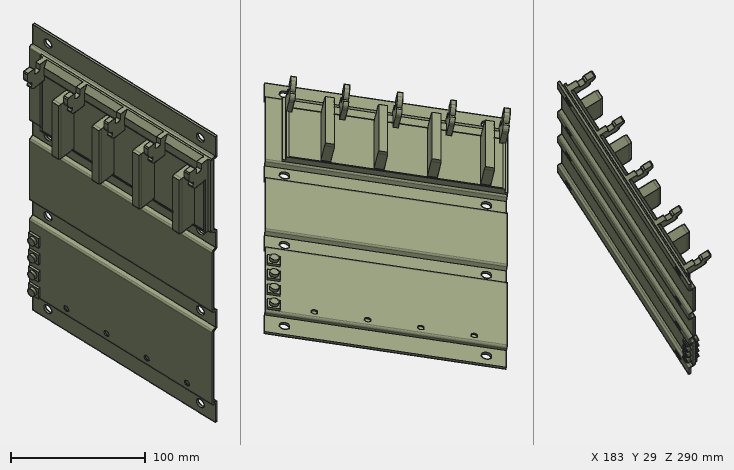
import cadquery as cq
import math


plate_width = 183.0
plate_height = 290.0
mid_height = plate_height / 2
sheet = 2.0
raise_step = 3.8
raised_face = sheet + raise_step
end_step_z = 270.5
upper_ramp_z = 193.0
middle_ramp_z = 177.8
bend_radius = 2.0
ramp_angle = 60.0

mount_hole_diameter = 7.8
mount_hole_spacing = 152.8
mount_hole_edge = 10.2
mount_hole_inner = 40.5

pitch = 40.3
backing_left = -79.2
backing_face = 7.5
tray_left = -76.5
tray_right = 89.3
tray_face = 10.5
tray_bottom = 197.0
tray_top = 270.0
tray_slope_foot = 263.5
panel_rim = 2.0
panel_bottom = 198.0
panel_top = 255.5
panel_recess = 0.44

rib_count = 4
first_rib_x = -46.7
rib_width = 7.5
rib_bottom = 199.5
rib_top = 254.5
rib_shoulder = 24.5
rib_face = 26.7
rib_nose_inset = 0.44

hook_count = 5
hook_width = 4.0
last_hook_width = tray_right - (tray_left + (hook_count - 1) * pitch)
hook_bottom = 250.5
hook_tip = 29.0
slot_back = 15.0
slot_front = 20.5
slot_floor = 263.5
slot_floor_rise = 1.0
slot_lead_in = 1.5
beak_chamfer = 1.0
beak_end_z = 264.0
beak_middle = (27.3, 260.0)
notch_depth = 23.8
notch_top = 257.5
notch_bottom = 255.5
nose_tip = (25.0, 254.0)
nose_middle = (23.8, 251.7)
nose_root = 19.5

terminal_count = 4
terminal_x = -85.5
lowest_terminal_z = 27.0
terminal_pitch = 17.0
terminal_square = 10.0
terminal_square_face = 7.8
terminal_diameter = 7.0
terminal_face = 10.5
terminal_chamfer = 1.0

blind_count = 4
first_blind_x = -54.5
blind_diameter = 5.0
blind_depth = 1.2


def block(left, right, back, front, bottom, top):
    """Box between two X positions, two depths and two heights."""
    size = (right - left, front - back, top - bottom)
    return cq.Workplane("XY").box(*size, centered=False).translate((left, -front, bottom))


def side_profile(points, left, right):
    """Extrude a (depth, height) polygon from left to right."""
    outline = [(-depth, height) for depth, height in points]
    return cq.Workplane("YZ", origin=(left, 0, 0)).polyline(outline).close().extrude(right - left)


def rod(x, z, diameter, back, front):
    """Cylinder along Y between two depths."""
    plane = cq.Workplane("XZ", origin=(x, -back, z))
    return plane.circle(diameter / 2).extrude(front - back)


def flipped(points):
    """Mirror (depth, height) points about mid-height, keeping the outline in order."""
    return [(depth, plate_height - height) for depth, height in reversed(points)]


def make_backplate():
    ramp_height = raise_step / math.tan(math.radians(ramp_angle))
    shift = sheet * math.tan(math.radians(ramp_angle / 2))
    upper_front = [
        (sheet, plate_height),
        (sheet, end_step_z),
        (raised_face, end_step_z),
        (raised_face, upper_ramp_z + ramp_height),
        (sheet, upper_ramp_z),
        (sheet, middle_ramp_z),
        (raised_face, middle_ramp_z - ramp_height),
    ]
    upper_back = [
        (0, plate_height),
        (0, end_step_z - sheet),
        (raise_step, end_step_z - sheet),
        (raise_step, upper_ramp_z + ramp_height + shift),
        (0, upper_ramp_z + shift),
        (0, middle_ramp_z - shift),
        (raise_step, middle_ramp_z - ramp_height - shift),
    ]
    front = upper_front + flipped(upper_front)
    back = upper_back + flipped(upper_back)
    plate = side_profile(front + back[::-1], -plate_width / 2, plate_width / 2)

    upper_bends = [p for p in upper_front if p[0] == raised_face]
    upper_bends += [p for p in upper_back if p[0] == 0 and p[1] < plate_height]
    for depth, height in upper_bends + flipped(upper_bends):
        corner = cq.selectors.NearestToPointSelector((0, -depth, height))
        plate = plate.edges("|X").edges(corner).fillet(bend_radius)
    return plate


def make_mount_holes():
    outer_row = mid_height - mount_hole_edge
    holes = cq.Workplane("XY")
    for side in (-1, 1):
        for row in (-outer_row, -mount_hole_inner, mount_hole_inner, outer_row):
            x = side * mount_hole_spacing / 2
            holes = holes.add(rod(x, mid_height + row, mount_hole_diameter, 0, sheet))
    return holes.combine()


def make_tray():
    backing = block(backing_left, plate_width / 2, raised_face, backing_face, tray_bottom, tray_top)
    body_profile = [
        (raised_face, tray_bottom),
        (tray_face, tray_bottom),
        (tray_face, tray_slope_foot),
        (backing_face, tray_top),
        (raised_face, tray_top),
    ]
    body = side_profile(body_profile, tray_left, tray_right)
    recess = block(
        tray_left + panel_rim, tray_right - panel_rim,
        tray_face - panel_recess, tray_face,
        panel_bottom, panel_top,
    )
    return backing.union(body).cut(recess)


def make_rib(x):
    height = rib_top - rib_bottom
    nose_length = rib_face - rib_shoulder
    shank = block(x - rib_width / 2, x + rib_width / 2, backing_face, rib_shoulder, rib_bottom, rib_top)
    taper = math.degrees(math.atan(rib_nose_inset / nose_length))
    nose_plane = cq.Workplane("XZ", origin=(x, -rib_shoulder, rib_bottom + height / 2))
    nose = nose_plane.rect(rib_width, height).extrude(nose_length, taper=taper)
    return shank.union(nose)


def make_hook(left, width):
    def at(depth, height):
        return (-depth, height)

    slot_middle = (slot_back + slot_front) / 2
    slot_wall_foot = slot_floor + slot_floor_rise
    outline = (
        cq.Workplane("YZ", origin=(left, 0, 0))
        .moveTo(*at(raised_face, hook_bottom))
        .lineTo(*at(raised_face, tray_top))
        .lineTo(*at(slot_back, tray_top))
        .lineTo(*at(slot_back, slot_wall_foot))
        .threePointArc(at(slot_middle, slot_floor), at(slot_front, slot_wall_foot))
        .lineTo(*at(slot_front, tray_top - slot_lead_in))
        .lineTo(*at(slot_front + slot_lead_in, tray_top))
        .lineTo(*at(hook_tip - beak_chamfer, tray_top))
        .lineTo(*at(hook_tip, tray_top - beak_chamfer))
        .lineTo(*at(hook_tip, beak_end_z))
        .threePointArc(at(*beak_middle), at(notch_depth, notch_top))
        .lineTo(*at(notch_depth, notch_bottom))
        .lineTo(*at(*nose_tip))
        .threePointArc(at(*nose_middle), at(nose_root, hook_bottom))
        .close()
    )
    return outline.extrude(width)


def make_terminal(z):
    half = terminal_square / 2
    flange = block(
        terminal_x - half, terminal_x + half,
        raise_step, terminal_square_face,
        z - half, z + half,
    )
    stud = rod(terminal_x, z, terminal_diameter, 0, terminal_face)
    stud = stud.faces(">Y").chamfer(terminal_chamfer)
    return flange.union(stud)


part = make_backplate().cut(make_mount_holes()).union(make_tray())

for i in range(rib_count):
    part = part.union(make_rib(first_rib_x + i * pitch))

for i in range(hook_count):
    width = last_hook_width if i == hook_count - 1 else hook_width
    part = part.union(make_hook(tray_left + i * pitch, width))

for i in range(terminal_count):
    part = part.union(make_terminal(lowest_terminal_z + i * terminal_pitch))

for i in range(blind_count):
    hole_x = first_blind_x + i * pitch
    part = part.cut(rod(hole_x, lowest_terminal_z, blind_diameter, raised_face - blind_depth, raised_face))

result = part